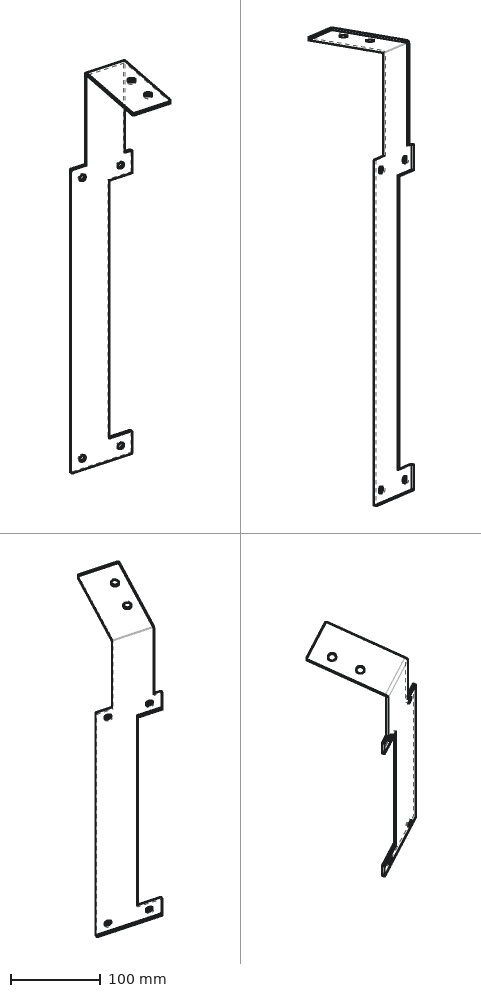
import cadquery as cq

thickness = 3.0
bend_inner_radius = 0.8
bend_outer_radius = bend_inner_radius + thickness
corner_radius = 2.0

total_height = 521.98
shoulder_height = 400.0
plate_width = 80.0
lug_height = 30.0
lug_length = 30.0

neck_width = 50.0
neck_inset = 10.0
flange_reach = 101.98

plate_hole_diameter = 8.0
plate_hole_inset = 15.0
plate_hole_spacing = 50.0
flange_hole_diameter = 9.0
flange_hole_side_inset = 15.0
flange_hole_end_inset = 25.0
flange_hole_spacing = 35.0

plate_y_max = plate_width / 2
plate_y_min = -plate_width / 2
neck_y_max = plate_y_max - neck_inset
notch_y = plate_y_max - lug_length

upper_lug_z = shoulder_height - lug_height


def plate():
    """Flat plate with two lugs on its +Y side, one at each end."""
    outline = [
        (plate_y_min, 0),
        (plate_y_max, 0),
        (plate_y_max, lug_height),
        (notch_y, lug_height),
        (notch_y, upper_lug_z),
        (plate_y_max, upper_lug_z),
        (plate_y_max, shoulder_height),
        (plate_y_min, shoulder_height),
    ]
    body = cq.Workplane("YZ").polyline(outline).close().extrude(thickness)
    rounded_corners = [
        (plate_y_min, 0),
        (plate_y_max, 0),
        (plate_y_max, lug_height),
        (plate_y_max, shoulder_height),
        (plate_y_min, shoulder_height),
    ]
    for y, z in rounded_corners:
        corner = cq.selectors.NearestToPointSelector((thickness / 2, y, z))
        body = body.edges("|X").edges(corner).fillet(corner_radius)
    return body


def neck_and_flange():
    """Narrow L-shaped strip with a rounded bend at its top."""
    strip = (
        cq.Workplane("XZ", origin=(0, neck_y_max, 0))
        .moveTo(0, upper_lug_z)
        .lineTo(0, total_height - bend_outer_radius)
        .radiusArc((bend_outer_radius, total_height), bend_outer_radius)
        .lineTo(flange_reach, total_height)
        .lineTo(flange_reach, total_height - thickness)
        .lineTo(bend_outer_radius, total_height - thickness)
        .radiusArc((thickness, total_height - bend_outer_radius), -bend_inner_radius)
        .lineTo(thickness, upper_lug_z)
        .close()
        .extrude(neck_width)
    )
    return strip.faces(">X").edges("|Z").fillet(corner_radius)


def plate_holes():
    """Cutters for the four holes through the upright plate."""
    first_y = plate_y_max - plate_hole_inset
    centers = [
        (y, z)
        for y in (first_y, first_y - plate_hole_spacing)
        for z in (plate_hole_inset, shoulder_height - plate_hole_inset)
    ]
    return cq.Workplane("YZ").pushPoints(centers).circle(plate_hole_diameter / 2).extrude(thickness)


def flange_holes():
    """Cutters for the two holes through the flange."""
    outer_x = flange_reach - flange_hole_end_inset
    y = neck_y_max - flange_hole_side_inset
    centers = [(outer_x, y), (outer_x - flange_hole_spacing, y)]
    top = cq.Workplane("XY", origin=(0, 0, total_height))
    return top.pushPoints(centers).circle(flange_hole_diameter / 2).extrude(-thickness)


result = plate().union(neck_and_flange()).clean().cut(plate_holes()).cut(flange_holes())